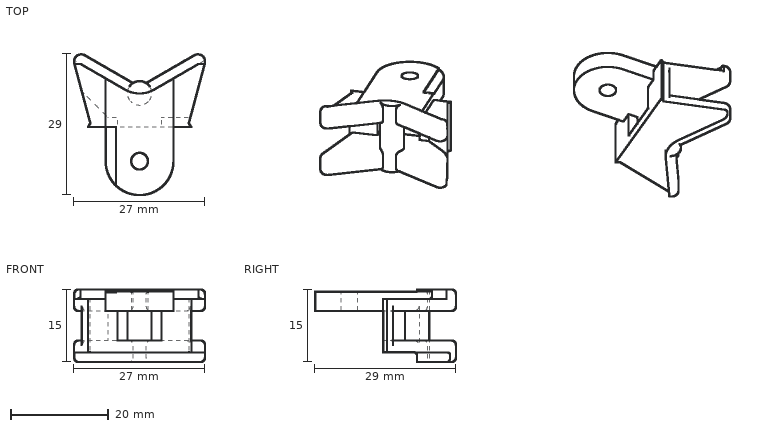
import cadquery as cq
import math


TOTAL_HEIGHT = 15.0
ARM_HEIGHT = 4.5
RIM_HEIGHT = 2.0
BLOCK_BOTTOM = RIM_HEIGHT
BLOCK_TOP = TOTAL_HEIGHT - RIM_HEIGHT
UPPER_ARM_BOTTOM = TOTAL_HEIGHT - ARM_HEIGHT
WINDOW_HEIGHT = UPPER_ARM_BOTTOM - ARM_HEIGHT

ARM_ANGLE = math.radians(30)
SIDE_ANGLE = math.radians(15)
TIP_RADIUS = 1.5
TIP_X = 12.0
TIP_Y = 20.5
RIM_BACK_OFFSET = 0.5
RIM_BACK_RADIUS = 6.0
RIM_END_Y = 20.0
EDGE_RADIUS = 1.0
ROOT_RADIUS = 0.5

BLOCK_BACK_Y = 7.0
WING_FRONT_Y = 14.43
WING_ANGLE = math.radians(45)
REAR_WALL_FRONT_Y = 9.0
BLOCK_BACK_HALF_WIDTH = 10.65
NOTCH_Y = 7.8
WINDOW_WIDTH = 9.0

PIN_RADIUS = 2.5
PIN_Y = 14.0

TAB_RADIUS = 7.0
TAB_THICKNESS = 4.0
TAB_TOP = UPPER_ARM_BOTTOM + TAB_THICKNESS
HOLE_DIAMETER = 3.4
LABEL_WIDTH = 2.2
LABEL_DEPTH = 0.2

OVERCUT = 5.0


def v_apex_y(offset):
    """Y at X = 0 of a V running parallel to the arms, offset forward from the tip centres."""
    return TIP_Y - TIP_X * math.tan(ARM_ANGLE) + offset / math.cos(ARM_ANGLE)


def side_x(y):
    """Half width between the leaning outer sides, which are tangent to the tips."""
    return TIP_X + TIP_RADIUS / math.cos(SIDE_ANGLE) - (TIP_Y - y) * math.tan(SIDE_ANGLE)


def tip_point(angle):
    """Point on the right-hand tip rounding, at an angle counted from +X."""
    return TIP_X + TIP_RADIUS * math.cos(angle), TIP_Y + TIP_RADIUS * math.sin(angle)


def mirrored(point):
    return -point[0], point[1]


RIM_BACK_APEX_Y = v_apex_y(-RIM_BACK_OFFSET)


def make_arm_plate(bottom):
    """V-fronted plate with its top and bottom edges rounded, except along the straight rear face."""
    side_end = tip_point(-SIDE_ANGLE)
    front_end = tip_point(math.pi / 2 + ARM_ANGLE)
    tip_middle = tip_point((math.pi / 2 + ARM_ANGLE - SIDE_ANGLE) / 2)
    back_corner = (side_x(NOTCH_Y), NOTCH_Y)
    plate = (
        cq.Workplane("XY", origin=(0, 0, bottom))
        .moveTo(*back_corner)
        .lineTo(*side_end)
        .threePointArc(tip_middle, front_end)
        .lineTo(0, v_apex_y(TIP_RADIUS))
        .lineTo(*mirrored(front_end))
        .threePointArc(mirrored(tip_middle), mirrored(side_end))
        .lineTo(*mirrored(back_corner))
        .close()
        .extrude(ARM_HEIGHT)
    )
    rear_edges = cq.selectors.BoxSelector(
        (-TIP_X, NOTCH_Y - ROOT_RADIUS, bottom - ROOT_RADIUS),
        (TIP_X, NOTCH_Y + ROOT_RADIUS, bottom + ARM_HEIGHT + ROOT_RADIUS),
    )
    flat_edges = plate.faces("|Z").edges()
    return flat_edges.edges(cq.selectors.InverseSelector(rear_edges)).fillet(EDGE_RADIUS)


def make_block():
    """Rear wall with flared ends and a solid wing on the -X side, pierced by a window."""
    wing_length_x = (WING_FRONT_Y - REAR_WALL_FRONT_Y) / math.tan(WING_ANGLE)
    wing_corner = (-side_x(WING_FRONT_Y), WING_FRONT_Y)
    block = (
        cq.Workplane("XY", origin=(0, 0, BLOCK_BOTTOM))
        .moveTo(-BLOCK_BACK_HALF_WIDTH, BLOCK_BACK_Y)
        .lineTo(BLOCK_BACK_HALF_WIDTH, BLOCK_BACK_Y)
        .lineTo(side_x(NOTCH_Y), NOTCH_Y)
        .lineTo(side_x(REAR_WALL_FRONT_Y), REAR_WALL_FRONT_Y)
        .lineTo(wing_corner[0] + wing_length_x, REAR_WALL_FRONT_Y)
        .lineTo(*wing_corner)
        .lineTo(-side_x(NOTCH_Y), NOTCH_Y)
        .close()
        .extrude(BLOCK_TOP - BLOCK_BOTTOM)
    )
    window = cq.Workplane("XY", origin=(0, BLOCK_BACK_Y - OVERCUT, ARM_HEIGHT)).box(
        WINDOW_WIDTH, TIP_Y, WINDOW_HEIGHT, centered=(True, False, False)
    )
    return block.cut(window)


def make_relief(bottom, root_side):
    """Space behind a rim, with its front edge rounded to leave a root fillet."""
    reach_x = TIP_X + OVERCUT
    reach_y = RIM_BACK_APEX_Y + reach_x * math.tan(ARM_ANGLE)
    relief = (
        cq.Workplane("XY", origin=(0, 0, bottom))
        .moveTo(-reach_x, BLOCK_BACK_Y - OVERCUT)
        .lineTo(reach_x, BLOCK_BACK_Y - OVERCUT)
        .lineTo(reach_x, reach_y)
        .lineTo(0, RIM_BACK_APEX_Y)
        .lineTo(-reach_x, reach_y)
        .close()
        .extrude(RIM_HEIGHT)
    )
    apex_edge = cq.selectors.NearestToPointSelector((0, RIM_BACK_APEX_Y, bottom + RIM_HEIGHT / 2))
    relief = relief.edges("|Z").edges(apex_edge).fillet(RIM_BACK_RADIUS)
    front_arc = cq.selectors.RadiusNthSelector(0)
    return relief.faces(root_side).edges(front_arc).fillet(ROOT_RADIUS)


def make_upper_relief():
    """Relief above the block, ending in a flat face just short of the tips."""
    reach = 2 * (TIP_X + OVERCUT)
    keep = cq.Workplane("XY", origin=(0, RIM_END_Y - reach / 2, BLOCK_TOP)).box(reach, reach, reach)
    return make_relief(BLOCK_TOP, "<Z").intersect(keep)


def make_tab():
    """Round-ended tab running into the rear of the upper rim."""
    front_corner_y = PIN_Y + TAB_RADIUS * math.tan(ARM_ANGLE)
    tab = (
        cq.Workplane("XY", origin=(0, 0, UPPER_ARM_BOTTOM))
        .moveTo(TAB_RADIUS, 0)
        .lineTo(TAB_RADIUS, front_corner_y)
        .lineTo(0, PIN_Y)
        .lineTo(-TAB_RADIUS, front_corner_y)
        .lineTo(-TAB_RADIUS, 0)
        .threePointArc((0, -TAB_RADIUS), (TAB_RADIUS, 0))
        .close()
        .extrude(TAB_THICKNESS)
    )
    hole = (
        cq.Workplane("XY", origin=(0, 0, UPPER_ARM_BOTTOM))
        .circle(HOLE_DIAMETER / 2)
        .extrude(TAB_THICKNESS)
    )
    label_recess = cq.Workplane("XY", origin=(-TAB_RADIUS, -TAB_RADIUS, TAB_TOP - LABEL_DEPTH)).box(
        LABEL_WIDTH, TAB_RADIUS + BLOCK_BACK_Y, LABEL_DEPTH, centered=False
    )
    return tab.cut(hole).cut(label_recess)


def make_pin():
    return cq.Workplane("XY", origin=(0, PIN_Y, 0)).circle(PIN_RADIUS).extrude(TOTAL_HEIGHT)


body = make_block()
for plate_bottom in (0, UPPER_ARM_BOTTOM):
    body = body.union(make_arm_plate(plate_bottom))
body = body.union(make_pin())
body = body.cut(make_relief(0, ">Z")).cut(make_upper_relief())
result = body.union(make_tab())